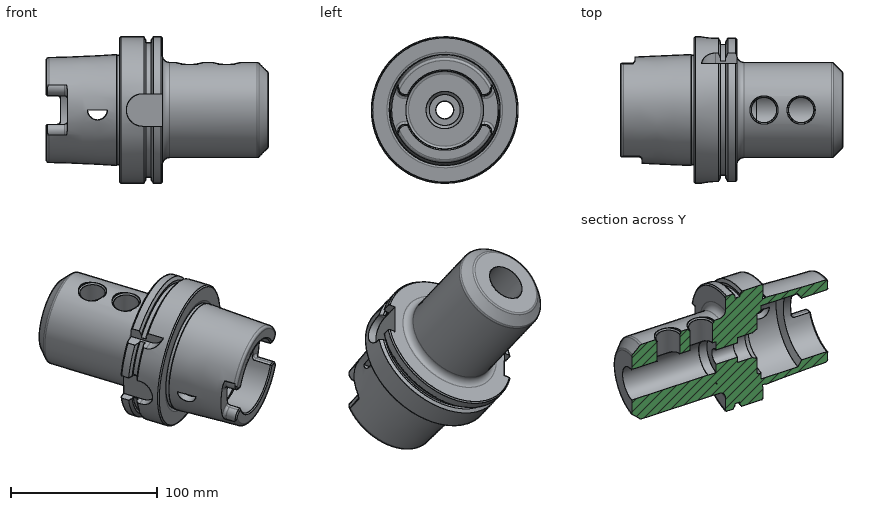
import cadquery as cq
import math

LENGTH = 151.5

NOSE_RADIUS = 35.8
NOSE_ROUND = 2.0
TAPER_END_X = 47.9
TAPER_END_RADIUS = 37.9
UNDERCUT_RADIUS = 37.5
FACE_RELIEF_RADIUS = 39.4
FACE_RELIEF_DEPTH = 0.5

FLANGE_START_X = 50.0
FLANGE_END_X = 79.3
FLANGE_RADIUS = 50.0
FLANGE_CHAMFER = 0.9
GROOVE_CENTRE_X = 69.9
GROOVE_TOP_WIDTH = 6.5
GROOVE_BOTTOM_WIDTH = 3.6
GROOVE_SLOPE_DEPTH = 2.5
GROOVE_RADIUS = 45.9

BODY_RADIUS = 65.0 / 2
BODY_ROOT_ROUND = 5.0
BODY_CHAMFER = 7.0
BODY_CHAMFER_ROUND = 2.0

HOLLOW_RADIUS = 53.0 / 2
INNER_EDGE_CHAMFER = 0.9
MOUTH_DEPTH = 20.3
INNER_GROOVE_RADIUS = 63.0 / 2
SHOULDER_ANGLE = math.radians(60)
INNER_GROOVE_END_X = 51.5
HOLLOW_DEPTH = 54.5
HOLLOW_FLOOR_ROUND = 1.8

COUNTERSINK_RADIUS = 25.5 / 2
COUNTERSINK_ANGLE = math.radians(30)
COOLANT_THREAD_RADIUS = 21.0 / 2
COOLANT_THREAD_DEPTH = 15.2
COOLANT_RADIUS = 12.0 / 2

TOOL_BORE_RADIUS = 26.0 / 2
TOOL_BORE_START_X = 92.8
BORE_RELIEF_RADIUS = 26.4 / 2
BORE_RELIEF_START_X = 86.4
SCREW_XS = (97.8, 123.0)
SCREW_RADIUS = 17.3 / 2
SCREW_RIM_RADIUS = 19.2 / 2

DRIVE_SLOT_HALF_WIDTH = 9.7
DRIVE_SLOT_ROUND = 5.0
DRIVE_SLOT_FLOOR_ROUND = 2.0
DRIVE_SLOT_DEPTHS = {-1: 14.5, 1: 9.7}

ACCESS_X = 35.0
ACCESS_RADIUS = 6.7

KEYWAY_RADII = {-1: 11.0, 1: 10.0}
KEYWAY_START_X = 54.7
KEYWAY_FLOOR = 44.0
NOTCH_RADIUS = 10.0
NOTCH_FLOOR_Y = 31.7
NOTCH_LOW_Z = 31.5

ROUND_MIDDLE = 1 - math.sqrt(0.5)


def outer_body():
    """The solid of revolution that carries every outer surface."""
    half_top = GROOVE_TOP_WIDTH / 2
    half_bottom = GROOVE_BOTTOM_WIDTH / 2
    groove_slope_radius = FLANGE_RADIUS - GROOVE_SLOPE_DEPTH
    taper_slope = (TAPER_END_RADIUS - NOSE_RADIUS) / TAPER_END_X
    rim = FLANGE_RADIUS - FLANGE_CHAMFER
    nose_middle = NOSE_ROUND * ROUND_MIDDLE
    root_middle = BODY_ROOT_ROUND * ROUND_MIDDLE
    root_x = FLANGE_END_X + BODY_ROOT_ROUND
    profile = (
        cq.Workplane("XY")
        .moveTo(0, 0)
        .lineTo(0, NOSE_RADIUS - NOSE_ROUND)
        .threePointArc(
            (nose_middle, NOSE_RADIUS - nose_middle),
            (NOSE_ROUND, NOSE_RADIUS + taper_slope * NOSE_ROUND),
        )
        .lineTo(TAPER_END_X, TAPER_END_RADIUS)
        .lineTo(TAPER_END_X + TAPER_END_RADIUS - UNDERCUT_RADIUS, UNDERCUT_RADIUS)
        .lineTo(FLANGE_START_X + FACE_RELIEF_DEPTH, UNDERCUT_RADIUS)
        .lineTo(FLANGE_START_X, FACE_RELIEF_RADIUS)
        .lineTo(FLANGE_START_X, rim)
        .lineTo(FLANGE_START_X + FLANGE_CHAMFER, FLANGE_RADIUS)
        .lineTo(GROOVE_CENTRE_X - half_top, FLANGE_RADIUS)
        .lineTo(GROOVE_CENTRE_X - half_bottom, groove_slope_radius)
        .lineTo(GROOVE_CENTRE_X - half_bottom, GROOVE_RADIUS)
        .lineTo(GROOVE_CENTRE_X + half_bottom, GROOVE_RADIUS)
        .lineTo(GROOVE_CENTRE_X + half_bottom, groove_slope_radius)
        .lineTo(GROOVE_CENTRE_X + half_top, FLANGE_RADIUS)
        .lineTo(FLANGE_END_X - FLANGE_CHAMFER, FLANGE_RADIUS)
        .lineTo(FLANGE_END_X, rim)
        .lineTo(FLANGE_END_X, BODY_RADIUS + BODY_ROOT_ROUND)
        .threePointArc((FLANGE_END_X + root_middle, BODY_RADIUS + root_middle), (root_x, BODY_RADIUS))
        .lineTo(LENGTH - BODY_CHAMFER, BODY_RADIUS)
        .lineTo(LENGTH, BODY_RADIUS - BODY_CHAMFER)
        .lineTo(LENGTH, 0)
        .close()
    )
    body = profile.revolve(360, (0, 0, 0), (1, 0, 0))
    clamping_end = cq.selectors.BoxSelector(
        (LENGTH - BODY_CHAMFER - 0.2, -FLANGE_RADIUS, -FLANGE_RADIUS),
        (LENGTH + 0.2, FLANGE_RADIUS, FLANGE_RADIUS),
        boundingbox=True,
    )
    return body.edges(clamping_end).edges("%CIRCLE").fillet(BODY_CHAMFER_ROUND)


def hollow():
    """Everything hollow about the tool axis, from the shank nose to the clamping end."""
    shoulder_length = (INNER_GROOVE_RADIUS - HOLLOW_RADIUS) / math.tan(SHOULDER_ANGLE)
    countersink_depth = (COUNTERSINK_RADIUS - COOLANT_THREAD_RADIUS) / math.tan(COUNTERSINK_ANGLE)
    floor_middle = HOLLOW_FLOOR_ROUND * ROUND_MIDDLE
    thread_end = HOLLOW_DEPTH + COOLANT_THREAD_DEPTH
    profile = (
        cq.Workplane("XY")
        .moveTo(0, 0)
        .lineTo(0, HOLLOW_RADIUS + INNER_EDGE_CHAMFER)
        .lineTo(INNER_EDGE_CHAMFER, HOLLOW_RADIUS)
        .lineTo(MOUTH_DEPTH, HOLLOW_RADIUS)
        .lineTo(MOUTH_DEPTH + shoulder_length, INNER_GROOVE_RADIUS)
        .lineTo(INNER_GROOVE_END_X, INNER_GROOVE_RADIUS)
        .lineTo(INNER_GROOVE_END_X, HOLLOW_RADIUS)
        .lineTo(HOLLOW_DEPTH - HOLLOW_FLOOR_ROUND, HOLLOW_RADIUS)
        .threePointArc(
            (HOLLOW_DEPTH - floor_middle, HOLLOW_RADIUS - floor_middle),
            (HOLLOW_DEPTH, HOLLOW_RADIUS - HOLLOW_FLOOR_ROUND),
        )
        .lineTo(HOLLOW_DEPTH, COUNTERSINK_RADIUS)
        .lineTo(HOLLOW_DEPTH + countersink_depth, COOLANT_THREAD_RADIUS)
        .lineTo(thread_end, COOLANT_THREAD_RADIUS)
        .lineTo(thread_end, COOLANT_RADIUS)
        .lineTo(BORE_RELIEF_START_X, COOLANT_RADIUS)
        .lineTo(BORE_RELIEF_START_X, BORE_RELIEF_RADIUS)
        .lineTo(TOOL_BORE_START_X, BORE_RELIEF_RADIUS)
        .lineTo(TOOL_BORE_START_X, TOOL_BORE_RADIUS)
        .lineTo(LENGTH, TOOL_BORE_RADIUS)
        .lineTo(LENGTH, 0)
        .close()
    )
    return profile.revolve(360, (0, 0, 0), (1, 0, 0))


def screw_hole(x):
    """A hole from the top of the body into the tool bore, flared at its rim."""
    flare_depth = SCREW_RIM_RADIUS - SCREW_RADIUS
    rim_z = math.sqrt(BODY_RADIUS**2 - SCREW_RIM_RADIUS**2)
    hole = cq.Workplane("XY").center(x, 0).circle(SCREW_RADIUS).extrude(BODY_RADIUS)
    flare = cq.Workplane("XY", origin=(x, 0, rim_z - flare_depth)).circle(SCREW_RADIUS)
    flare = flare.workplane(offset=flare_depth).circle(SCREW_RIM_RADIUS).loft()
    opening = cq.Workplane("XY", origin=(x, 0, rim_z)).circle(SCREW_RIM_RADIUS).extrude(BODY_RADIUS)
    return hole.union(flare).union(opening)


def drive_slot_outline(side, widening):
    """Outline whose side walls flare outward in arcs that run out along the shank surface."""
    round_z = DRIVE_SLOT_HALF_WIDTH + DRIVE_SLOT_ROUND
    round_y = math.sqrt((NOSE_RADIUS - DRIVE_SLOT_ROUND) ** 2 - round_z**2)
    end_angle = math.atan2(round_z, round_y)
    middle_angle = (end_angle - math.pi / 2) / 2
    wall_round = DRIVE_SLOT_ROUND - widening
    wall_z = DRIVE_SLOT_HALF_WIDTH + widening
    middle_y = side * (round_y + wall_round * math.cos(middle_angle))
    middle_z = round_z + wall_round * math.sin(middle_angle)
    end_y = side * (round_y + wall_round * math.cos(end_angle))
    end_z = round_z + wall_round * math.sin(end_angle)
    far_y = side * FLANGE_RADIUS
    return (
        cq.Workplane("YZ")
        .moveTo(0, -wall_z)
        .lineTo(side * round_y, -wall_z)
        .threePointArc((middle_y, -middle_z), (end_y, -end_z))
        .lineTo(far_y, -end_z)
        .lineTo(far_y, end_z)
        .lineTo(end_y, end_z)
        .threePointArc((middle_y, middle_z), (side * round_y, wall_z))
        .lineTo(0, wall_z)
        .close()
    )


def drive_slot(side, depth):
    """A slot with rounded floor edges and a chamfered entry at the shank nose."""
    floor = cq.selectors.BoxSelector(
        (depth - 0.2, -NOSE_RADIUS, -NOSE_RADIUS),
        (depth + 0.2, NOSE_RADIUS, NOSE_RADIUS),
        boundingbox=True,
    )
    slot = drive_slot_outline(side, 0).extrude(depth)
    slot = slot.edges(floor).edges("not(|Z)").fillet(DRIVE_SLOT_FLOOR_ROUND)
    entry = drive_slot_outline(side, INNER_EDGE_CHAMFER).extrude(INNER_EDGE_CHAMFER, taper=45)
    return slot.union(entry)


def access_openings():
    """The lower half of a cross hole through both sides of the shank wall."""
    cylinder = cq.Workplane("XZ", origin=(ACCESS_X, 0, 0)).circle(ACCESS_RADIUS)
    cylinder = cylinder.extrude(FLANGE_RADIUS, both=True)
    upper_half = cq.Workplane("XY").box(LENGTH, LENGTH, LENGTH, centered=(True, True, False))
    return cylinder.cut(upper_half)


def rim_slot(start_x, radius, centre_z, floor_y, side):
    """A slot sunk along Y into the flange rim, round at its start and open at the flange end face."""
    middle_x = start_x + radius
    length = FLANGE_END_X - middle_x
    plan = cq.Workplane("XZ", origin=(middle_x, side * floor_y, centre_z))
    depth = -side * (FLANGE_RADIUS - floor_y)
    round_start = plan.circle(radius).extrude(depth)
    straight = plan.center(length / 2, 0).rect(length, 2 * radius).extrude(depth)
    return round_start.union(straight)


result = outer_body().cut(hollow())
for slot_side, slot_depth in DRIVE_SLOT_DEPTHS.items():
    result = result.cut(drive_slot(slot_side, slot_depth))
result = result.cut(access_openings())
for screw_x in SCREW_XS:
    result = result.cut(screw_hole(screw_x))
for key_side, key_radius in KEYWAY_RADII.items():
    result = result.cut(rim_slot(KEYWAY_START_X, key_radius, 0, KEYWAY_FLOOR, key_side))
notch_centre_z = NOTCH_LOW_Z + NOTCH_RADIUS
result = result.cut(rim_slot(KEYWAY_START_X, NOTCH_RADIUS, notch_centre_z, NOTCH_FLOOR_Y, 1))